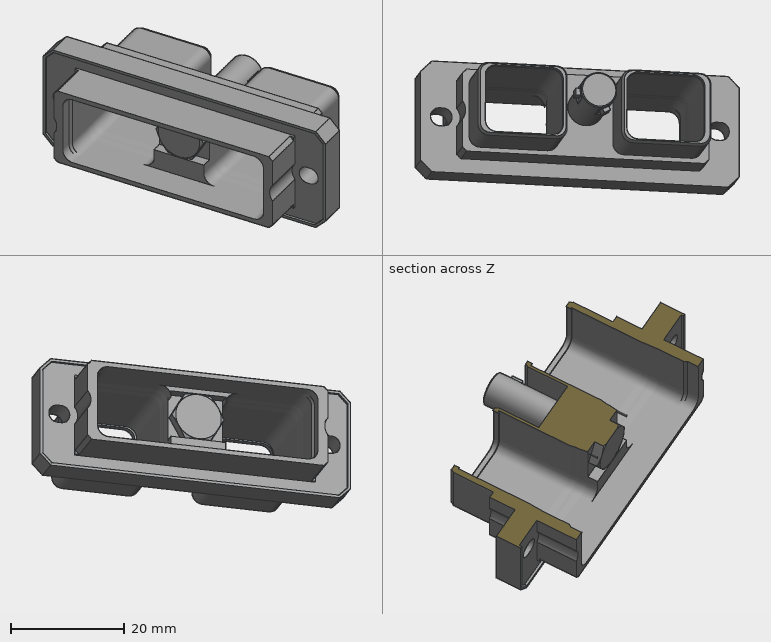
import cadquery as cq
import math

housing_width = 44.45
housing_height = 15.05
housing_depth = 17.85
housing_chamfer = 0.75

flange_width = 57.45
flange_height = 20.33
flange_front = 7.6
flange_thickness = 5.05
flange_chamfer = 2.0
recess_rim = 0.5
recess_depth = 0.5

slot_offset = 25.0
slot_length = 3.85
slot_height = 3.3
groove_depth = 0.6

cavity_width = 40.75
cavity_height = 13.3
cavity_radius = 2.0
cavity_step_start = 2.2
cavity_step_end = 2.8
side_step = 0.35

divider_width = 10.15
divider_front = 5.7
head_recess_height = 8.65
head_recess_depth = 2.0

first_draft_start = 8.0
first_draft_end = 9.35
second_draft_start = 9.9
second_draft_end = 11.2
first_draft_share = 0.25
second_draft_share = 0.5
opening_center = 12.76
opening_width = 14.05
opening_height = 12.25
opening_radius = 2.0
plug_center = 12.97
plug_width = 16.1
plug_height = 13.4
plug_radius = 2.0
plug_back = 26.65
plug_lip = 1.0
plug_chamfer_length = 0.7
plug_chamfer_inset = 0.35

screw_z = 1.47
screw_back = 30.37
screw_diameter = 6.4
screw_end_chamfer = 0.2
head_flats = 8.4
head_chamfer_height = 0.35

key_front = 26.2
key_length = 2.2
key_width = 1.25
key_reach = 3.8
key_angles = (0.0, 120.0)
key_seat_front = 25.4
key_seat_length = 3.8
key_seat_radius = 2.85


def plane_at(y):
    """Sketch plane facing +Y: local x is -X and local y is +Z."""
    return cq.Workplane(cq.Plane(origin=(0, y, 0), xDir=(-1, 0, 0), normal=(0, 1, 0)))


def block(width, height, y_start, y_end, x=0.0, z=0.0):
    return plane_at(y_start).center(-x, z).rect(width, height).extrude(y_end - y_start)


def rounded_block(width, height, radius, y_start, y_end, x=0.0):
    return block(width, height, y_start, y_end, x).edges("|Y").fillet(radius)


def stepped_pocket(radius, sections):
    """Rounded pocket through (y, x centre, width, height) sections, straight-sided between them."""
    start_y = sections[0][0]
    outlines = [
        cq.Sketch()
        .rect(width, height)
        .vertices()
        .fillet(radius)
        .moved(cq.Location(cq.Vector(-x, 0, y - start_y)))
        for y, x, width, height in sections
    ]
    return plane_at(start_y).placeSketch(*outlines).loft(ruled=True)


def make_housing():
    body = block(housing_width, housing_height, 0, housing_depth)
    body = body.edges("|Y").chamfer(housing_chamfer)
    half_height = slot_height / 2
    edge_x = housing_width / 2
    for side in (-1, 1):
        groove = (
            plane_at(0)
            .moveTo(side * edge_x, -half_height)
            .threePointArc((side * (edge_x - groove_depth), 0), (side * edge_x, half_height))
            .close()
            .extrude(housing_depth)
        )
        body = body.cut(groove)
    return body


def make_flange():
    flange_back = flange_front + flange_thickness
    flange = block(flange_width, flange_height, flange_front, flange_back)
    flange = flange.edges("|Y").chamfer(flange_chamfer)
    recess = block(
        flange_width - 2 * recess_rim,
        flange_height - 2 * recess_rim,
        flange_front,
        flange_front + recess_depth,
    )
    recess_chamfer = flange_chamfer - recess_rim * (2 - math.sqrt(2))
    flange = flange.cut(recess.edges("|Y").chamfer(recess_chamfer))
    slots = (
        plane_at(flange_front)
        .pushPoints([(-slot_offset, 0), (slot_offset, 0)])
        .slot2D(slot_length, slot_height)
        .extrude(flange_thickness)
    )
    return flange.cut(slots)


def make_corner_pads():
    """Triangular pads that square off the housing corners over the depth of the recess."""
    square_collar = block(
        housing_width, housing_height, flange_front, flange_front + recess_depth
    )
    chamfered_collar = square_collar.edges("|Y").chamfer(housing_chamfer)
    return square_collar.cut(chamfered_collar)


def make_plug(side):
    plug = rounded_block(
        plug_width, plug_height, plug_radius, divider_front, plug_back, side * plug_center
    )
    return plug.faces(">Y").chamfer(plug_chamfer_length, plug_chamfer_inset)


def make_cavity():
    """Shared front mouth whose side walls step in a little behind the front face."""
    inner_width = cavity_width - 2 * side_step
    sections = [
        (0, 0, cavity_width, cavity_height),
        (cavity_step_start, 0, cavity_width, cavity_height),
        (cavity_step_end, 0, inner_width, cavity_height),
        (divider_front, 0, inner_width, cavity_height),
    ]
    return stepped_pocket(cavity_radius, sections)


def make_compartment(side):
    """Compartment that narrows in two drafted bands and ends at a lip around the opening."""
    outer_x = cavity_width / 2 - side_step
    inner_x = divider_width / 2
    front_center = side * (outer_x + inner_x) / 2
    opening_x = side * opening_center

    def section(y, share):
        """Section at depth y, narrowed by a share of the difference from the opening."""
        front = (front_center, outer_x - inner_x, cavity_height)
        opening = (opening_x, opening_width, opening_height)
        return (y, *[start + share * (end - start) for start, end in zip(front, opening)])

    lip_start = plug_back - plug_lip
    pocket = stepped_pocket(
        cavity_radius,
        [
            section(divider_front, 0),
            section(first_draft_start, 0),
            section(first_draft_end, first_draft_share),
            section(second_draft_start, first_draft_share),
            section(second_draft_end, second_draft_share),
            section(lip_start, second_draft_share),
        ],
    )
    opening = rounded_block(
        opening_width, opening_height, opening_radius, lip_start, plug_back, opening_x
    )
    return pocket.union(opening)


def make_head_recess():
    return block(
        divider_width, head_recess_height, divider_front, divider_front + head_recess_depth, z=screw_z
    )


def make_screw_head():
    """Hexagon with two corners along X, its front corners turned off by a cone."""
    corner_diameter = head_flats / math.cos(math.pi / 6)
    head_start = plane_at(divider_front).center(0, screw_z)
    hexagon = head_start.polygon(6, corner_diameter).extrude(head_recess_depth)
    turned = head_start.circle(corner_diameter / 2).extrude(head_recess_depth)
    corner_height = (corner_diameter - head_flats) / 2
    turned = turned.faces("<Y").chamfer(head_chamfer_height, corner_height)
    return hexagon.intersect(turned)


def make_screw_shank():
    """Shank with flat seats, each carrying a square key; angles turn from +X towards -Z."""
    shank_start = divider_front + head_recess_depth
    shank = (
        plane_at(shank_start)
        .circle(screw_diameter / 2)
        .extrude(screw_back - shank_start)
        .faces(">Y")
        .chamfer(screw_end_chamfer)
    )
    seat = block(
        screw_diameter, screw_diameter, key_seat_front, key_seat_front + key_seat_length,
        x=key_seat_radius + screw_diameter / 2,
    )
    key = block(key_reach, key_width, key_front, key_front + key_length, x=key_reach / 2)
    for angle in key_angles:
        shank = shank.cut(seat.rotate((0, 0, 0), (0, 1, 0), angle))
        shank = shank.union(key.rotate((0, 0, 0), (0, 1, 0), angle))
    return shank.translate((0, 0, screw_z))


result = make_housing().union(make_flange()).union(make_corner_pads())
for side in (-1, 1):
    result = result.union(make_plug(side))
result = result.cut(make_cavity())
for side in (-1, 1):
    result = result.cut(make_compartment(side))
result = result.cut(make_head_recess())
result = result.union(make_screw_head()).union(make_screw_shank())